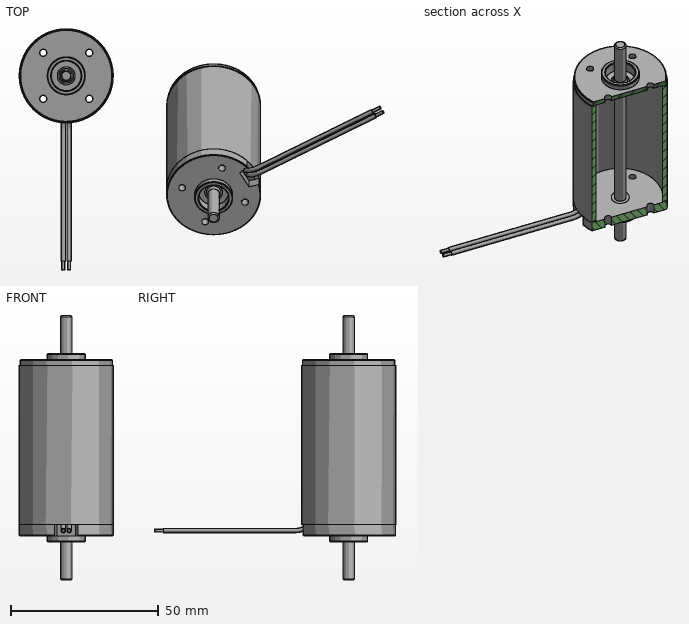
import cadquery as cq
import math


SHAFT_LENGTH = 90.0
SHAFT_RADIUS = 2.0
SHAFT_CHAMFER = 0.45

HOUSING_LENGTH = 54.0
HOUSING_RADIUS = 16.0
HOUSING_WALL = 1.5

FRONT_CAP_RADIUS = 15.75
FRONT_CAP_THICKNESS = 2.0
REAR_CAP_THICKNESS = 4.0
CAP_EDGE_CHAMFER = 0.3

BOSS_RADIUS = 6.5
BOSS_HEIGHT = 2.1
BOSS_CHAMFER = 0.3
RECESS_RADIUS = 5.0
RECESS_DEPTH = 3.8

BEARING_RADIUS = 3.1
BEARING_NOSE_RADIUS = 2.5
BEARING_NOSE_HEIGHT = 1.0
BEARING_SEAT_LENGTH = REAR_CAP_THICKNESS + BOSS_HEIGHT - RECESS_DEPTH

MOUNT_HOLE_RADIUS = 1.2
MOUNT_HOLE_SPACING = 15.7

NOTCH_OUTER_WIDTH = 8.1
NOTCH_INNER_WIDTH = 6.3
NOTCH_EDGE_Y = -math.sqrt(HOUSING_RADIUS**2 - (NOTCH_OUTER_WIDTH / 2) ** 2)
NOTCH_DEPTH = 3.4
NOTCH_WALL_Y = NOTCH_EDGE_Y + NOTCH_DEPTH

LEAD_SPACING = 2.0
LEAD_DROP = 2.2
INSULATION_RADIUS = 0.75
CONDUCTOR_RADIUS = 0.5
STRIPPED_LENGTH = 3.0
LEAD_TIP_Y = -66.0
BEND_START_Y = -18.2
BEND_RADIUS = 6.75

FRONT_BOSS_TOP = HOUSING_LENGTH + FRONT_CAP_THICKNESS + BOSS_HEIGHT
REAR_BOSS_END = -(REAR_CAP_THICKNESS + BOSS_HEIGHT)
SHAFT_OVERHANG = (SHAFT_LENGTH - (FRONT_BOSS_TOP - REAR_BOSS_END)) / 2


def make_cap(radius, thickness):
    """End cap with its inner face on Z = 0 and its boss pointing to +Z."""
    boss_top = thickness + BOSS_HEIGHT
    floor = boss_top - RECESS_DEPTH
    plate = cq.Workplane("XY").circle(radius).extrude(thickness).faces(">Z").chamfer(CAP_EDGE_CHAMFER)
    boss = cq.Workplane("XY").circle(BOSS_RADIUS).extrude(boss_top)
    recess = cq.Workplane("XY").workplane(offset=floor).circle(RECESS_RADIUS).extrude(RECESS_DEPTH)
    boss = boss.cut(recess).faces(">Z").chamfer(BOSS_CHAMFER)
    bearing_seat = cq.Workplane("XY").circle(BEARING_RADIUS).extrude(boss_top)
    mount_holes = (
        cq.Workplane("XY")
        .rect(MOUNT_HOLE_SPACING, MOUNT_HOLE_SPACING, forConstruction=True)
        .vertices()
        .circle(MOUNT_HOLE_RADIUS)
        .extrude(thickness)
    )
    return plate.union(boss).cut(recess).cut(bearing_seat).cut(mount_holes)


def make_bearing(cap_thickness):
    """Sleeve bearing for a cap that has its inner face on Z = 0 and its boss pointing to +Z."""
    floor = cap_thickness + BOSS_HEIGHT - RECESS_DEPTH
    seat_end = floor - BEARING_SEAT_LENGTH
    nose_top = floor + BEARING_NOSE_HEIGHT
    return (
        cq.Workplane("XZ")
        .moveTo(SHAFT_RADIUS, seat_end)
        .lineTo(BEARING_RADIUS, seat_end)
        .lineTo(BEARING_RADIUS, floor)
        .lineTo(BEARING_NOSE_RADIUS, floor)
        .lineTo(SHAFT_RADIUS, nose_top)
        .close()
        .revolve(360, (0, 0, 0), (0, 1, 0))
    )


def place_front(part):
    """Move a part drawn on Z = 0 onto the upper end of the housing."""
    return part.translate((0, 0, HOUSING_LENGTH))


def place_rear(part):
    """Turn a part drawn on Z = 0 over, so that it hangs below the housing."""
    return part.rotate((0, 0, 0), (1, 0, 0), 180)


def make_front_cap():
    return place_front(make_cap(FRONT_CAP_RADIUS, FRONT_CAP_THICKNESS))


def make_rear_cap():
    """Rear cap hanging below the housing, with the flared lead notch on its -Y side."""
    cap = place_rear(make_cap(HOUSING_RADIUS, REAR_CAP_THICKNESS))
    flare = (NOTCH_OUTER_WIDTH - NOTCH_INNER_WIDTH) / 2 / NOTCH_DEPTH
    mouth_half = NOTCH_INNER_WIDTH / 2 + flare * (HOUSING_RADIUS + NOTCH_WALL_Y)
    notch = (
        cq.Workplane("XY")
        .moveTo(-NOTCH_INNER_WIDTH / 2, NOTCH_WALL_Y)
        .lineTo(NOTCH_INNER_WIDTH / 2, NOTCH_WALL_Y)
        .lineTo(mouth_half, -HOUSING_RADIUS)
        .lineTo(-mouth_half, -HOUSING_RADIUS)
        .close()
        .extrude(-REAR_CAP_THICKNESS)
    )
    return cap.cut(notch)


def make_housing():
    return (
        cq.Workplane("XY")
        .circle(HOUSING_RADIUS)
        .circle(HOUSING_RADIUS - HOUSING_WALL)
        .extrude(HOUSING_LENGTH)
    )


def make_shaft():
    return (
        cq.Workplane("XY")
        .workplane(offset=REAR_BOSS_END - SHAFT_OVERHANG)
        .circle(SHAFT_RADIUS)
        .extrude(SHAFT_LENGTH)
        .faces("<Z or >Z")
        .chamfer(SHAFT_CHAMFER)
    )


def make_lead(x):
    """Lead with a stripped tip; from the tip it runs straight, then bends up into the housing end."""
    half_bend = math.pi / 4
    bend_middle = (
        BEND_START_Y + BEND_RADIUS * math.sin(half_bend),
        -LEAD_DROP + BEND_RADIUS * (1 - math.cos(half_bend)),
    )
    bend_end = (BEND_START_Y + BEND_RADIUS, BEND_RADIUS - LEAD_DROP)
    insulation_end_y = LEAD_TIP_Y + STRIPPED_LENGTH
    path = (
        cq.Workplane("YZ", origin=(x, 0, 0))
        .moveTo(insulation_end_y, -LEAD_DROP)
        .lineTo(BEND_START_Y, -LEAD_DROP)
        .threePointArc(bend_middle, bend_end)
    )
    end_plane = cq.Workplane("XZ", origin=(x, insulation_end_y, -LEAD_DROP))
    insulation = end_plane.circle(INSULATION_RADIUS).sweep(path)
    conductor = end_plane.circle(CONDUCTOR_RADIUS).extrude(STRIPPED_LENGTH)
    trim_size = 2 * BEND_RADIUS
    trim = (
        cq.Workplane("XY", origin=(x, BEND_START_Y + BEND_RADIUS, 0))
        .rect(trim_size, trim_size)
        .extrude(trim_size)
    )
    return insulation.union(conductor).cut(trim)


housing = make_housing()
shaft = make_shaft()
front_cap = make_front_cap()
rear_cap = make_rear_cap()
front_bearing = place_front(make_bearing(FRONT_CAP_THICKNESS))
rear_bearing = place_rear(make_bearing(REAR_CAP_THICKNESS))
leads = [make_lead(x).val() for x in (-LEAD_SPACING / 2, LEAD_SPACING / 2)]

result = cq.Compound.makeCompound(
    [
        housing.val(),
        shaft.val(),
        front_cap.val(),
        rear_cap.val(),
        front_bearing.val(),
        rear_bearing.val(),
        *leads,
    ]
)